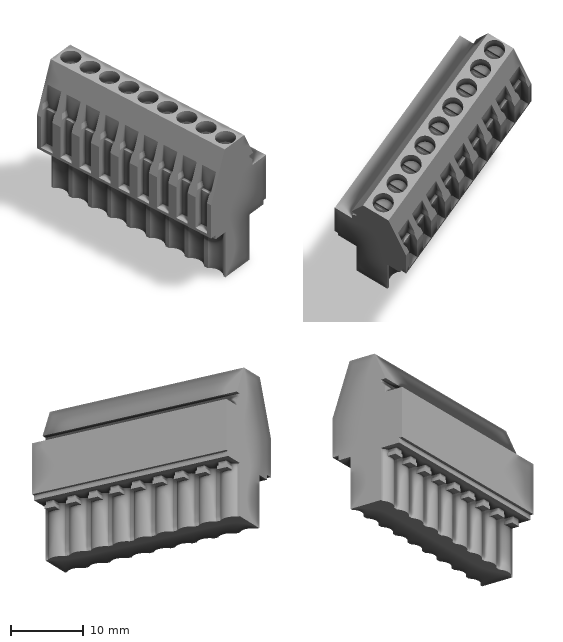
import cadquery as cq

LENGTH = 31.5
DEPTH = 11.85
HEIGHT = 22.6
POLES = 9
PITCH = LENGTH / POLES

TOP_FRONT_Y = 2.93
TOP_BACK_Y = 7.15
FRONT_SLOPE_Z = 14.52
SHOULDER_Z = 16.3
NECK_Y = 8.95
HOOK_Y = 9.07
HOOK_Z = 18.33
NOTCH_Y = 8.25
NOTCH_LOW_Z = 18.02
NECK_TOP_Z = 17.3
STEP_Z = 8.65
STEP_FRONT = 1.0
STEP_BACK = 0.5
PLUG_FRONT_Y = 3.1
PLUG_BACK_Y = 8.25
PLUG_HEIGHT = 7.95

ENTRY_TOP_WIDTH = 2.52
ENTRY_WIDTH = 2.05
ENTRY_BACK_Y = 1.67
ENTRY_TAPER_TOP_Z = 16.35
ENTRY_TAPER_LOW_Z = 15.55
ENTRY_LEDGE_Z = 15.18
ENTRY_LOWER_BACK_Y = 1.2
ENTRY_FLOOR_Z = 9.15

ARC_WIDTH = 2.8
CHANNEL_DEPTH = 0.65
BULGE_RISE = 0.57

LATCH_BACK_Y = 10.05
LATCH_LOW_Z = 6.93
LATCH_STEP_Z = 7.43
LATCH_WIDTH = 1.25
LATCH_LIP_WIDTH = 1.65

SCREW_X_OFFSET = 0.13
SCREW_Y = (TOP_FRONT_Y + TOP_BACK_Y) / 2
HOLE_DIAMETER = 2.93
SCREW_DIAMETER = 2.8
SCREW_RECESS = 1.83
SCREW_LENGTH = 1.9
SCREW_SLOT_WIDTH = 0.4
SCREW_SLOT_DEPTH = 0.47
SCREW_TOP_Z = HEIGHT - SCREW_RECESS
SCREW_BOTTOM_Z = SCREW_TOP_Z - SCREW_LENGTH

pole_centers = [PITCH * (i + 0.5) for i in range(POLES)]


def box(x_center, width, y_range, z_range):
    """Box centred on x_center between two Y and two Z limits."""
    y0, y1 = y_range
    z0, z1 = z_range
    return (
        cq.Workplane("XY")
        .box(width, y1 - y0, z1 - z0, centered=(True, False, False))
        .translate((x_center, y0, z0))
    )


def housing_block():
    """Side profile extruded over the full length."""
    profile = [
        (PLUG_FRONT_Y, 0),
        (PLUG_BACK_Y, 0),
        (PLUG_BACK_Y, PLUG_HEIGHT),
        (DEPTH - STEP_BACK, PLUG_HEIGHT),
        (DEPTH - STEP_BACK, STEP_Z),
        (DEPTH, STEP_Z),
        (DEPTH, SHOULDER_Z),
        (NECK_Y, SHOULDER_Z),
        (NECK_Y, NECK_TOP_Z),
        (NOTCH_Y, NOTCH_LOW_Z),
        (NOTCH_Y, HOOK_Z),
        (HOOK_Y, HOOK_Z),
        (TOP_BACK_Y, HEIGHT),
        (TOP_FRONT_Y, HEIGHT),
        (0, FRONT_SLOPE_Z),
        (0, STEP_Z),
        (STEP_FRONT, STEP_Z),
        (STEP_FRONT, PLUG_HEIGHT),
        (PLUG_FRONT_Y, PLUG_HEIGHT),
    ]
    return cq.Workplane("YZ").polyline(profile).close().extrude(LENGTH)


def wire_entry(x_center):
    """Cutter for one wire entry: tapering upper pocket and a shallower lower slot."""
    half_top = ENTRY_TOP_WIDTH / 2
    half_low = ENTRY_WIDTH / 2
    outline = [
        (-half_low, ENTRY_LEDGE_Z),
        (half_low, ENTRY_LEDGE_Z),
        (half_low, ENTRY_TAPER_LOW_Z),
        (half_top, ENTRY_TAPER_TOP_Z),
        (half_top, HEIGHT),
        (-half_top, HEIGHT),
        (-half_top, ENTRY_TAPER_TOP_Z),
        (-half_low, ENTRY_TAPER_LOW_Z),
    ]
    upper = (
        cq.Workplane("XZ")
        .polyline(outline)
        .close()
        .extrude(-ENTRY_BACK_Y)
        .translate((x_center, 0, 0))
    )
    lower = box(x_center, ENTRY_WIDTH, (0, ENTRY_LOWER_BACK_Y), (ENTRY_FLOOR_Z, ENTRY_LEDGE_Z))
    return upper.union(lower)


def plug_arc(x_center, y_base, rise):
    """Circular segment as tall as the plug, rising by rise toward +Y from y_base."""
    half = ARC_WIDTH / 2
    return (
        cq.Workplane("XY")
        .moveTo(x_center - half, y_base)
        .threePointArc((x_center, y_base + rise), (x_center + half, y_base))
        .close()
        .extrude(PLUG_HEIGHT)
    )


def latch_rib(x_center):
    """Rib under the housing, behind the plug, with a wider lip along its lower edge."""
    y_range = (PLUG_BACK_Y, LATCH_BACK_Y)
    stem = box(x_center, LATCH_WIDTH, y_range, (LATCH_STEP_Z, PLUG_HEIGHT))
    lip = box(x_center, LATCH_LIP_WIDTH, y_range, (LATCH_LOW_Z, LATCH_STEP_Z))
    return stem.union(lip)


def screw_cylinder(x_center, diameter, z_bottom, z_top):
    """Vertical cylinder on the screw axis of one pole."""
    return (
        cq.Workplane("XY", origin=(x_center + SCREW_X_OFFSET, SCREW_Y, z_bottom))
        .circle(diameter / 2)
        .extrude(z_top - z_bottom)
    )


def make_housing():
    """Housing with all entries, channels, bulges, latch ribs and screw holes."""
    body = housing_block()
    for x in pole_centers:
        body = body.cut(wire_entry(x))
        body = body.cut(plug_arc(x, PLUG_FRONT_Y, CHANNEL_DEPTH))
        body = body.union(plug_arc(x, PLUG_BACK_Y, BULGE_RISE))
        body = body.union(latch_rib(x))
        body = body.cut(screw_cylinder(x, HOLE_DIAMETER, SCREW_BOTTOM_Z, HEIGHT))
    return body


def make_screw(x_center):
    """Screw head with a straight driver slot running front to back."""
    head = screw_cylinder(x_center, SCREW_DIAMETER, SCREW_BOTTOM_Z, SCREW_TOP_Z)
    radius = SCREW_DIAMETER / 2
    slot = box(
        x_center + SCREW_X_OFFSET,
        SCREW_SLOT_WIDTH,
        (SCREW_Y - radius, SCREW_Y + radius),
        (SCREW_TOP_Z - SCREW_SLOT_DEPTH, SCREW_TOP_Z),
    )
    return head.cut(slot)


housing = make_housing()
screws = [make_screw(x).val() for x in pole_centers]
result = cq.Compound.makeCompound([housing.val(), *screws])